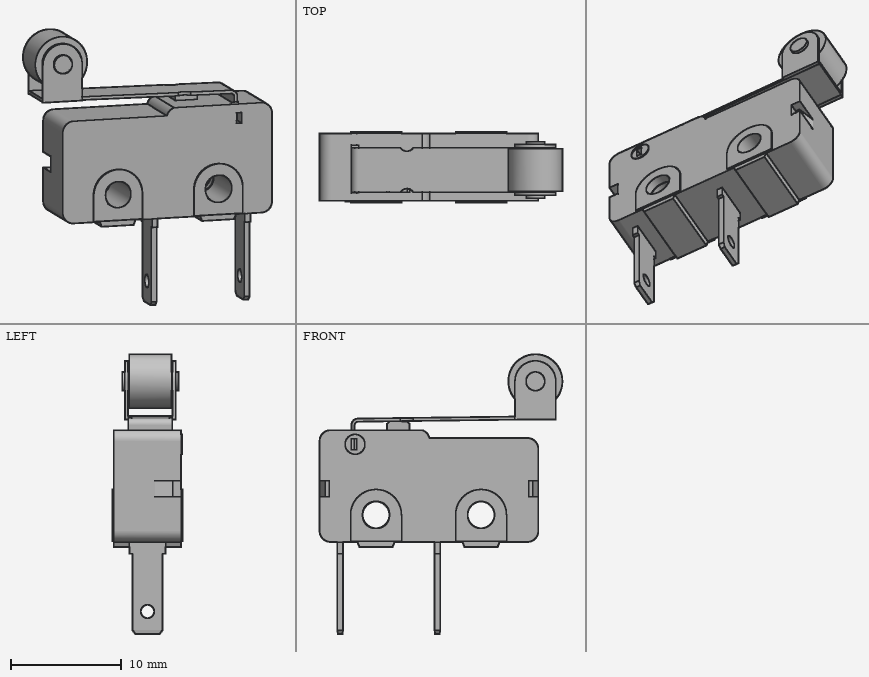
import cadquery as cq
import math


case_length = 19.8
case_width = 6.1
case_height = 10.12
low_top_height = 9.42
corner_radius = 1.0
step_start_x = 9.3
step_end_x = 9.95

embed_depth = 1.0

hole_xs = (5.1, 14.6)
hole_z = 2.45
hole_diameter = 2.4
relieved_hole_diameter = 2.5
hole_lip_length = 0.89
pad_radius = 2.3
pad_bottom_z = 0.08
pad_height = 0.15
foot_width = 3.37
foot_drop = 0.45
foot_taper = 0.18

notch_bottom_z = 4.1
notch_top_z = 5.55
notch_length = 0.89
notch_ledge_x = 0.5
notch_ledge_depth = 0.78
notch_depth = 2.38

lever_mid_y = -0.25
lever_width = 4.0
lever_front_y = lever_mid_y - lever_width / 2
lever_thickness = 0.3
lever_left_x = 2.89
lever_corner_top_z = 11.15
lever_slope = 0.013
bend_radius = 0.6
relief_x = 7.9
relief_diameter = 1.4
relief_depth = 0.3

roller_x = 19.51
roller_z = 14.53
roller_diameter = 4.9
roller_width = 3.85
axle_diameter = 1.7
axle_length = 5.1
cheek_radius = 1.85
cheek_bottom_z = 11.05

slot_right_x = 3.55
slot_front_y = -2.33
slot_back_y = 2.0
window_right_x = 3.37
window_top_z = 9.31
window_bottom_z = 8.35
disc_x = 3.21
disc_z = 8.83
disc_diameter = 1.8
disc_height = 0.08

plunger_left_x = 6.1
plunger_size = 2.05
plunger_chamfer = 0.23

terminal_xs = (1.87, 10.65)
terminal_thickness = 0.53
shoulder_width = 3.3
shoulder_z = -1.06
blade_width = 2.73
tip_z = -8.33
tip_height = 0.38
tip_chamfer_y = 0.28
tip_bevel_x = 0.05
terminal_hole_diameter = 1.2
terminal_hole_z = -6.28


def span_box(x0, x1, y0, y1, z0, z1):
    """Box between two limits on each axis."""
    return cq.Workplane("XY").box(x1 - x0, y1 - y0, z1 - z0, centered=False).translate((x0, y0, z0))


def along_y(outline, mid_y, width):
    """Extrude a closed XZ outline evenly to both sides of mid_y."""
    return outline.extrude(width).translate((0, mid_y + width / 2, 0))


def cylinder_y(x, z, diameter, mid_y, width):
    """Cylinder with its axis along Y."""
    return along_y(cq.Workplane("XZ").center(x, z).circle(diameter / 2), mid_y, width)


def arch(x, z, radius, bottom_z):
    """Upright outline with a round top centred on (x, z)."""
    return (
        cq.Workplane("XZ")
        .moveTo(x - radius, bottom_z)
        .lineTo(x - radius, z)
        .threePointArc((x, z + radius), (x + radius, z))
        .lineTo(x + radius, bottom_z)
        .close()
    )


def lever_top_z(x):
    """Height of the upper face of the gently rising lever."""
    return lever_corner_top_z + lever_slope * (x - lever_left_x)


def make_case():
    r = corner_radius
    cut = r * (1 - math.sqrt(0.5))
    right = case_length
    outline = (
        cq.Workplane("XZ")
        .moveTo(r, 0)
        .threePointArc((cut, cut), (0, r))
        .lineTo(0, case_height - r)
        .threePointArc((cut, case_height - cut), (r, case_height))
        .lineTo(step_start_x, case_height)
        .radiusArc((step_end_x, low_top_height), corner_radius)
        .lineTo(right - r, low_top_height)
        .threePointArc((right - cut, low_top_height - cut), (right, low_top_height - r))
        .lineTo(right, r)
        .threePointArc((right - cut, cut), (right - r, 0))
        .close()
    )
    return along_y(outline, 0, case_width)


def make_foot(x):
    half = foot_width / 2
    bottom_half = half - foot_taper
    outline = cq.Workplane("XZ").polyline([
        (x - half, embed_depth),
        (x - half, 0),
        (x - bottom_half, -foot_drop),
        (x + bottom_half, -foot_drop),
        (x + half, 0),
        (x + half, embed_depth),
    ]).close()
    return along_y(outline, 0, case_width)


def make_corner_notch():
    """Stepped and slanted notch at the left front corner."""
    front = -case_width / 2
    return (
        cq.Workplane("XY")
        .workplane(offset=notch_bottom_z)
        .polyline([
            (0, front),
            (notch_length, front),
            (notch_length, front + notch_ledge_depth),
            (notch_ledge_x, front + notch_ledge_depth),
            (0, front + notch_depth),
        ])
        .close()
        .extrude(notch_top_z - notch_bottom_z)
    )


def make_lever():
    inner_radius = bend_radius - lever_thickness
    inner_x = lever_left_x + lever_thickness
    end_x = roller_x + cheek_radius
    bend_end_x = lever_left_x + bend_radius
    bend_end_z = lever_top_z(bend_end_x)
    bend_z = bend_end_z - bend_radius
    diagonal = math.sqrt(0.5)
    outline = (
        cq.Workplane("XZ")
        .moveTo(lever_left_x, window_bottom_z)
        .lineTo(lever_left_x, bend_z)
        .threePointArc(
            (bend_end_x - bend_radius * diagonal, bend_z + bend_radius * diagonal),
            (bend_end_x, bend_end_z),
        )
        .lineTo(end_x, lever_top_z(end_x))
        .lineTo(end_x, lever_top_z(end_x) - lever_thickness)
        .lineTo(bend_end_x, bend_end_z - lever_thickness)
        .threePointArc(
            (bend_end_x - inner_radius * diagonal, bend_z + inner_radius * diagonal),
            (inner_x, bend_z),
        )
        .lineTo(inner_x, window_bottom_z)
        .close()
    )
    lever = along_y(outline, lever_mid_y, lever_width)
    relief_offset = lever_width / 2 + relief_diameter / 2 - relief_depth
    for side in (-1, 1):
        relief = (
            cq.Workplane("XY")
            .workplane(offset=case_height)
            .center(relief_x, lever_mid_y + side * relief_offset)
            .circle(relief_diameter / 2)
            .extrude(case_height)
        )
        lever = lever.cut(relief)
    return lever


def make_roller_carrier():
    """Roller and axle between two upright cheeks."""
    carrier = cylinder_y(roller_x, roller_z, roller_diameter, lever_mid_y, roller_width)
    axle = cylinder_y(roller_x, roller_z, axle_diameter, lever_mid_y, axle_length)
    carrier = carrier.union(axle)
    for side in (-1, 1):
        cheek_y = lever_mid_y + side * (lever_width + lever_thickness) / 2
        cheek = along_y(arch(roller_x, roller_z, cheek_radius, cheek_bottom_z), cheek_y, lever_thickness)
        carrier = carrier.union(cheek)
    return carrier


def make_plunger():
    """Square plunger that reaches up to the lever, flush with its front edge."""
    right = plunger_left_x + plunger_size
    top = lever_top_z(plunger_left_x) - lever_thickness
    plunger = span_box(
        plunger_left_x, right,
        lever_front_y, lever_front_y + plunger_size,
        low_top_height, top,
    )
    return plunger.faces(">Z").edges("|Y").chamfer(plunger_chamfer)


def make_terminal(x):
    half_shoulder = shoulder_width / 2
    half_blade = blade_width / 2
    half_tip = half_blade - tip_chamfer_y
    half_thickness = terminal_thickness / 2
    tip_start_z = tip_z + tip_height
    blade = (
        cq.Workplane("YZ")
        .polyline([
            (-half_shoulder, embed_depth),
            (-half_shoulder, shoulder_z),
            (-half_blade, shoulder_z),
            (-half_blade, tip_start_z),
            (-half_tip, tip_z),
            (half_tip, tip_z),
            (half_blade, tip_start_z),
            (half_blade, shoulder_z),
            (half_shoulder, shoulder_z),
            (half_shoulder, embed_depth),
        ])
        .close()
        .extrude(terminal_thickness)
        .translate((-half_thickness, 0, 0))
    )
    bevelled_profile = cq.Workplane("XZ").polyline([
        (-half_thickness, embed_depth),
        (-half_thickness, tip_start_z),
        (tip_bevel_x - half_thickness, tip_z),
        (half_thickness - tip_bevel_x, tip_z),
        (half_thickness, tip_start_z),
        (half_thickness, embed_depth),
    ]).close()
    blade = blade.intersect(along_y(bevelled_profile, 0, shoulder_width))
    hole = (
        cq.Workplane("YZ")
        .center(0, terminal_hole_z)
        .circle(terminal_hole_diameter / 2)
        .extrude(terminal_thickness, both=True)
    )
    return blade.cut(hole).translate((x, 0, 0))


padded_width = case_width + 2 * pad_height
case = make_case()
for hole_x in hole_xs:
    pad = along_y(arch(hole_x, hole_z, pad_radius, pad_bottom_z), 0, padded_width)
    case = case.union(pad).union(make_foot(hole_x))

disc_mid_y = -(case_width + disc_height) / 2
case = case.union(cylinder_y(disc_x, disc_z, disc_diameter, disc_mid_y, disc_height))

for hole_x in hole_xs:
    case = case.cut(cylinder_y(hole_x, hole_z, hole_diameter, 0, padded_width))

relieved_length = padded_width - hole_lip_length
case = case.cut(cylinder_y(
    hole_xs[0], hole_z, relieved_hole_diameter, hole_lip_length / 2, relieved_length,
))

corner_notch = make_corner_notch()
case = case.cut(corner_notch)
case = case.cut(corner_notch.mirror("YZ").translate((case_length, 0, 0)))

case = case.cut(span_box(
    lever_left_x, slot_right_x, slot_front_y, slot_back_y, window_bottom_z, case_height,
))
case = case.cut(span_box(
    lever_left_x, window_right_x, -case_width, case_width, window_bottom_z, window_top_z,
))

result = case.union(make_plunger()).union(make_lever()).union(make_roller_carrier())
for terminal_x in terminal_xs:
    result = result.union(make_terminal(terminal_x))